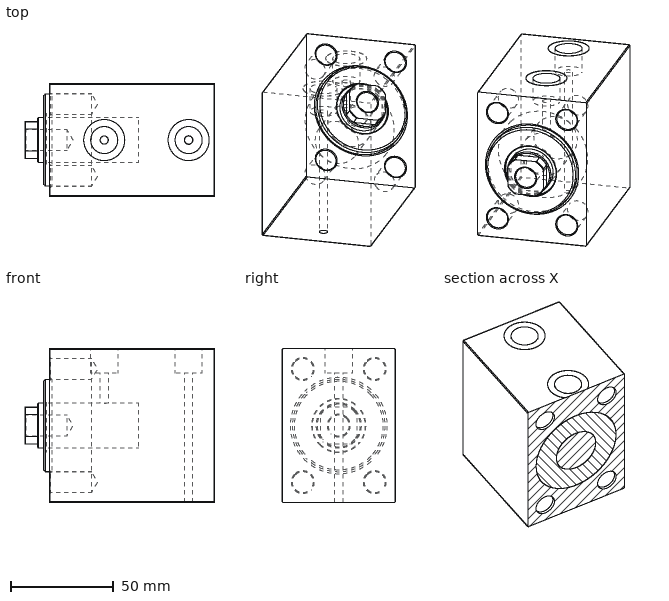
import cadquery as cq
import math

TOTAL_LENGTH = 92.0
HOUSING_FRONT = 12.0
HOUSING_WIDTH = 55.0
HOUSING_HEIGHT = 75.0
HOUSING_EDGE_CHAMFER = 0.5

ROD_DIAMETER = 22.0
ROD_END = 55.2
SHOULDER_FRONT = 6.0
SHOULDER_CHAMFER = 0.55
TIP_DIAMETER = 21.0
TIP_CHAMFER = 0.3
TIP_ACROSS_FLATS = 17.9

GLAND_DIAMETER = 45.0
GLAND_FRONT = 9.0
GLAND_END = 32.2
GLAND_CHAMFER = 0.9
WIPER_RECESS_DIAMETER = 25.8
WIPER_RECESS_DEPTH = 1.5
WIPER_RECESS_CHAMFER = 0.3
SEAT_CHAMFER = 1.0

TAP_DIAMETER = 10.2
TAP_DEPTH = 20.2
TAP_CHAMFER = 0.5
DRILL_POINT_ANGLE = 118.0
BOLT_SPACING_Y = 35.0
BOLT_SPACING_Z = 55.0

FRONT_PORT_X = 38.5
REAR_PORT_X = 79.5
SPOTFACE_DIAMETER = 20.0
SPOTFACE_DEPTH = 0.1
PORT_DIAMETER = 13.2
PORT_DEPTH = 12.0
PASSAGE_DIAMETER = 4.0


def x_cylinder(diameter, start, end):
    """Cylinder on the X axis between two X positions."""
    return cq.Workplane("YZ", origin=(start, 0, 0)).circle(diameter / 2).extrude(end - start)


def revolve_about_x(profile):
    """Solid of revolution about the X axis from (x, radius) points."""
    return cq.Workplane("XY").polyline(profile).close().revolve(360, (0, 0, 0), (1, 0, 0))


def x_countersink(diameter, chamfer, face_x):
    """45-degree cone that chamfers the mouth of a bore entering at face_x."""
    radius = diameter / 2
    return revolve_about_x(
        [(face_x, 0), (face_x, radius + chamfer), (face_x + chamfer, radius), (face_x + chamfer, 0)]
    )


def tapped_hole(face_x):
    """Chamfered hole drilled along +X from face_x, with a conical bottom."""
    radius = TAP_DIAMETER / 2
    point_length = radius / math.tan(math.radians(DRILL_POINT_ANGLE / 2))
    floor_x = face_x + TAP_DEPTH
    drill = revolve_about_x(
        [(face_x, 0), (face_x, radius), (floor_x, radius), (floor_x + point_length, 0)]
    )
    return drill.union(x_countersink(TAP_DIAMETER, TAP_CHAMFER, face_x))


def z_drill(diameter, x, top, bottom):
    """Vertical cylinder that cuts from the top level down to the bottom level."""
    return cq.Workplane("XY", origin=(x, 0, bottom)).circle(diameter / 2).extrude(top - bottom)


def port(x, passage_bottom):
    """Oil port: shallow spotface, threaded bore and narrow passage."""
    top = HOUSING_HEIGHT / 2
    spotface = z_drill(SPOTFACE_DIAMETER, x, top, top - SPOTFACE_DEPTH)
    bore = z_drill(PORT_DIAMETER, x, top, top - PORT_DEPTH)
    passage = z_drill(PASSAGE_DIAMETER, x, top, passage_bottom)
    return spotface.union(bore).union(passage)


def make_housing():
    length = TOTAL_LENGTH - HOUSING_FRONT
    block = (
        cq.Workplane("YZ", origin=(HOUSING_FRONT, 0, 0))
        .rect(HOUSING_WIDTH, HOUSING_HEIGHT)
        .extrude(length)
        .edges("|X")
        .chamfer(HOUSING_EDGE_CHAMFER)
    )

    block = block.cut(x_cylinder(GLAND_DIAMETER, HOUSING_FRONT, GLAND_END))
    block = block.cut(x_countersink(GLAND_DIAMETER, SEAT_CHAMFER, HOUSING_FRONT))
    block = block.cut(x_cylinder(ROD_DIAMETER, HOUSING_FRONT, ROD_END))

    bolt_hole = tapped_hole(HOUSING_FRONT)
    for side_y in (-1, 1):
        for side_z in (-1, 1):
            offset = (0, side_y * BOLT_SPACING_Y / 2, side_z * BOLT_SPACING_Z / 2)
            block = block.cut(bolt_hole.translate(offset))

    block = block.cut(port(FRONT_PORT_X, 0))
    return block.cut(port(REAR_PORT_X, -HOUSING_HEIGHT / 2))


def make_gland():
    plug = x_cylinder(GLAND_DIAMETER, GLAND_FRONT, GLAND_END).faces("<X").chamfer(GLAND_CHAMFER)
    recess = x_cylinder(WIPER_RECESS_DIAMETER, GLAND_FRONT, GLAND_FRONT + WIPER_RECESS_DEPTH)
    plug = plug.cut(recess)
    plug = plug.cut(x_countersink(WIPER_RECESS_DIAMETER, WIPER_RECESS_CHAMFER, GLAND_FRONT))
    return plug.cut(x_cylinder(ROD_DIAMETER, GLAND_FRONT, GLAND_END))


def make_rod():
    shaft = x_cylinder(ROD_DIAMETER, SHOULDER_FRONT, ROD_END).faces("<X").chamfer(SHOULDER_CHAMFER)
    square = cq.Workplane("YZ").rect(TIP_ACROSS_FLATS, TIP_ACROSS_FLATS).extrude(SHOULDER_FRONT)
    tip = x_cylinder(TIP_DIAMETER, 0, SHOULDER_FRONT).faces("<X").chamfer(TIP_CHAMFER)
    rod = shaft.union(tip.intersect(square))
    return rod.cut(tapped_hole(0))


housing = make_housing()
gland = make_gland()
rod = make_rod()

result = cq.Compound.makeCompound([housing.val(), gland.val(), rod.val()])